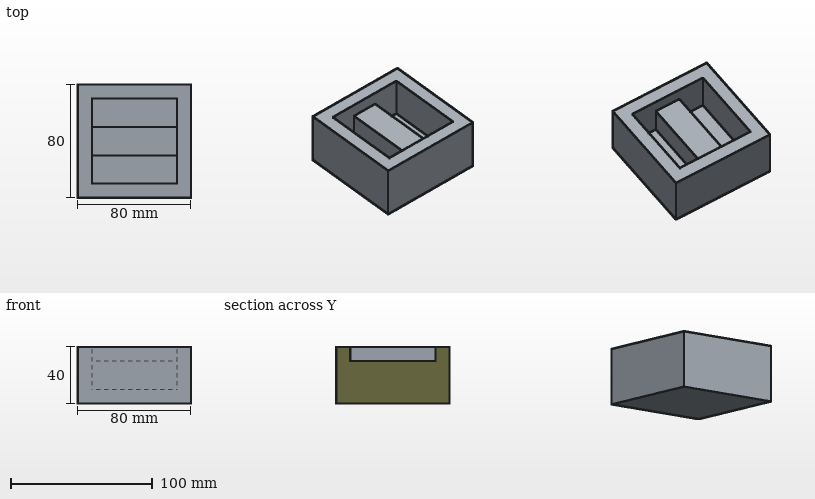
import cadquery as cq

side = 80.0
height = 40.0

wall = 10.0
floor = 10.0
pocket_side = side - 2 * wall

rib_width = pocket_side / 3
rib_drop = 10.0
rib_height = height - rib_drop - floor


def make_tray():
    """Square block with its base on Z = 0 and a square pocket in the top."""
    block = cq.Workplane("XY").box(side, side, height, centered=(True, True, False))
    pocket = (
        cq.Workplane("XY")
        .workplane(offset=floor)
        .rect(pocket_side, pocket_side)
        .extrude(height - floor)
    )
    return block.cut(pocket)


def make_rib():
    """Rectangular bar along X, standing on the pocket floor."""
    return (
        cq.Workplane("XY")
        .workplane(offset=floor)
        .rect(pocket_side, rib_width)
        .extrude(rib_height)
    )


result = make_tray().union(make_rib())